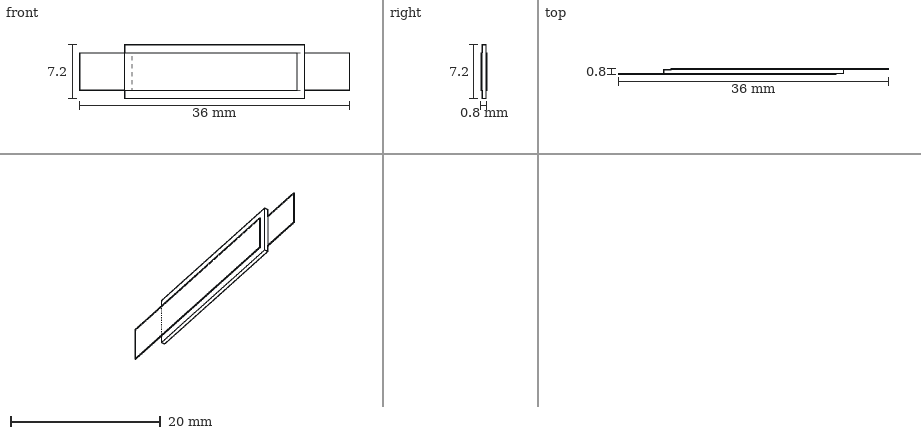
import cadquery as cq

overall_length = 36.0
overall_thickness = 0.8
plate_length = 24.0
plate_height = 7.2
tab_length = 29.0
tab_height = 5.0
tab_thickness = 0.125

plate_thickness = overall_thickness - 2 * tab_thickness


def make_tab(side):
    """Tab on the -Y face reaching to -X (side = -1), or its opposite (side = 1)."""
    x_center = side * (overall_length - tab_length) / 2
    y_center = side * (plate_thickness + tab_thickness) / 2
    return cq.Workplane("XY").box(tab_length, tab_thickness, tab_height).translate((x_center, y_center, 0))


plate = cq.Workplane("XY").box(plate_length, plate_thickness, plate_height)
result = plate
for side in (-1, 1):
    result = result.union(make_tab(side))